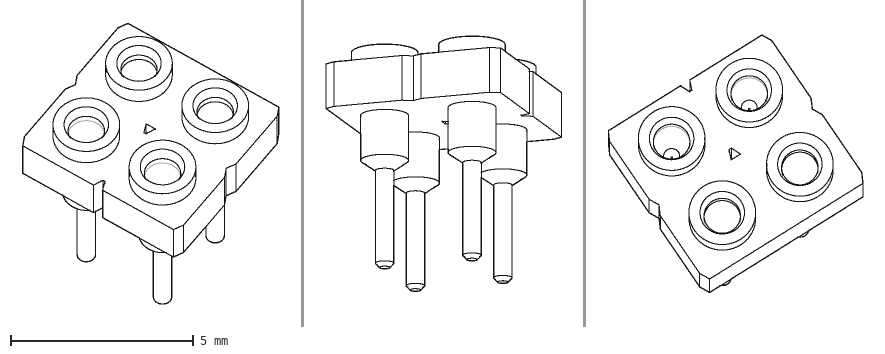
import cadquery as cq

total_height = 6.1
housing_length = 5.31
housing_width = 5.08
pin_pitch = housing_width / 2

collar_height = 0.52
housing_height = 1.27
sleeve_height = 1.275
shoulder_height = 0.285
tip_height = 0.12

collar_radius = 1.83 / 2
sleeve_radius = 1.32 / 2
tail_radius = 0.51 / 2
tip_radius = 0.29 / 2

mouth_radius = 1.22 / 2
bore_radius = 1.0 / 2
mouth_depth = 0.29
bore_depth = 0.495

taper_end_radius = 0.44 / 2
taper_depth = 1.16
cone_tip_radius = 0.05 / 2
cone_depth = 0.135

side_notch_depth = 0.14
side_notch_half = 0.28
wedge_half_base = 0.15
wedge_half_tip = 0.035
wedge_length = 0.28

housing_top = total_height - collar_height
housing_bottom = housing_top - housing_height
sleeve_bottom = housing_bottom - sleeve_height
shoulder_bottom = sleeve_bottom - shoulder_height
half_length = housing_length / 2
half_width = housing_width / 2
front_row_y = -pin_pitch / 2
back_row_y = pin_pitch / 2
column_positions = [-pin_pitch / 2, pin_pitch / 2]


def make_wedge_cut(base_y, direction):
    """Vertical wedge opening; direction is the sign of Y from its base to its tip."""
    tip_y = base_y + direction * wedge_length
    return (
        cq.Workplane("XY", origin=(0, 0, housing_bottom))
        .moveTo(-wedge_half_base, base_y)
        .lineTo(-wedge_half_tip, tip_y)
        .lineTo(wedge_half_tip, tip_y)
        .lineTo(wedge_half_base, base_y)
        .close()
        .extrude(housing_height)
    )


def make_housing():
    """Block with cut corners, side notches, two wedge openings and four pin holes."""
    notch_x = half_length - side_notch_depth
    corner_y = half_width - side_notch_half
    right_side = [
        (notch_x, -half_width),
        (half_length, -corner_y),
        (half_length, -side_notch_half),
        (notch_x, 0),
        (half_length, side_notch_half),
        (half_length, corner_y),
        (notch_x, half_width),
    ]
    left_side = [(-x, y) for x, y in reversed(right_side)]
    block = (
        cq.Workplane("XY", origin=(0, 0, housing_bottom))
        .polyline(right_side + left_side)
        .close()
        .extrude(housing_height)
    )
    block = block.cut(make_wedge_cut(-half_width, 1))
    block = block.cut(make_wedge_cut(0, -1))
    pin_holes = (
        cq.Workplane("XY", origin=(0, 0, housing_bottom))
        .rarray(pin_pitch, pin_pitch, 2, 2)
        .circle(sleeve_radius)
        .extrude(housing_height)
    )
    return block.cut(pin_holes)


def make_pin_blank():
    """Solid turned pin: tail, shoulder, sleeve and collar."""
    return (
        cq.Workplane("XZ")
        .lineTo(tip_radius, 0)
        .lineTo(tail_radius, tip_height)
        .lineTo(tail_radius, shoulder_bottom)
        .lineTo(sleeve_radius, sleeve_bottom)
        .lineTo(sleeve_radius, housing_top)
        .lineTo(collar_radius, housing_top)
        .lineTo(collar_radius, total_height)
        .lineTo(0, total_height)
        .close()
        .revolve(360, (0, 0), (0, 1))
    )


def make_socket(tapered):
    """Volume of the socket: flared mouth, bore and a flat or tapered floor."""
    mouth_bottom = total_height - mouth_depth
    bore_bottom = total_height - bore_depth
    profile = (
        cq.Workplane("XZ")
        .moveTo(bore_radius, bore_bottom)
        .lineTo(bore_radius, mouth_bottom)
        .lineTo(mouth_radius, total_height)
        .lineTo(0, total_height)
    )
    if tapered:
        taper_bottom = bore_bottom - taper_depth
        profile = (
            profile.lineTo(0, taper_bottom - cone_depth)
            .lineTo(cone_tip_radius, taper_bottom - cone_depth)
            .lineTo(taper_end_radius, taper_bottom)
        )
    else:
        profile = profile.lineTo(0, bore_bottom)
    return profile.close().revolve(360, (0, 0), (0, 1))


def make_pin(x, y, tapered):
    """One complete pin placed at (x, y)."""
    return make_pin_blank().cut(make_socket(tapered)).translate((x, y, 0))


housing = make_housing()

pins = []
for pin_x in column_positions:
    pins.append(make_pin(pin_x, front_row_y, tapered=True))
    pins.append(make_pin(pin_x, back_row_y, tapered=False))

result = cq.Compound.makeCompound([housing.val(), *[pin.val() for pin in pins]])